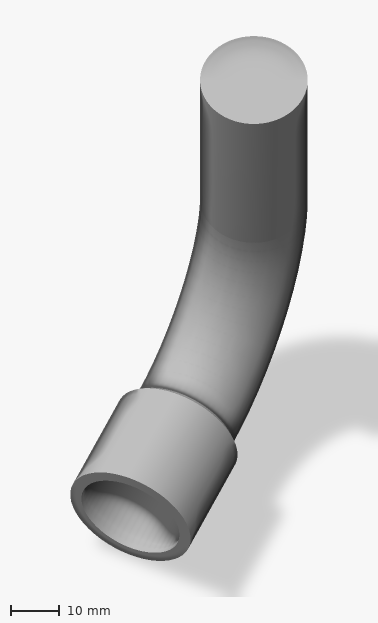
import cadquery as cq

total_height = 89.5
total_depth = 72.0

pipe_diameter = 22.0
bend_radius = 34.0
socket_diameter = 27.0
socket_length = 24.3
socket_chamfer = 1.2
bore_diameter = pipe_diameter
bore_depth = 22.0

upright_length = total_height - socket_diameter / 2 - bend_radius
horizontal_length = total_depth - pipe_diameter / 2 - bend_radius


def make_pipe():
    """Solid bent rod: horizontal run along +Y, quarter bend, upright run along +Z."""
    centerline = (
        cq.Workplane("YZ")
        .lineTo(horizontal_length, 0)
        .radiusArc((horizontal_length + bend_radius, bend_radius), -bend_radius)
        .line(0, upright_length)
    )
    return cq.Workplane("XZ").circle(pipe_diameter / 2).sweep(centerline)


def make_socket():
    """Sleeve around the open end, chamfered where it meets the pipe."""
    return (
        cq.Workplane("XZ")
        .circle(socket_diameter / 2)
        .extrude(-socket_length)
        .faces(">Y")
        .chamfer(socket_chamfer)
    )


def make_bore():
    """Blind round recess in the socket's open face."""
    return cq.Workplane("XZ").circle(bore_diameter / 2).extrude(-bore_depth)


result = make_pipe().union(make_socket()).cut(make_bore())